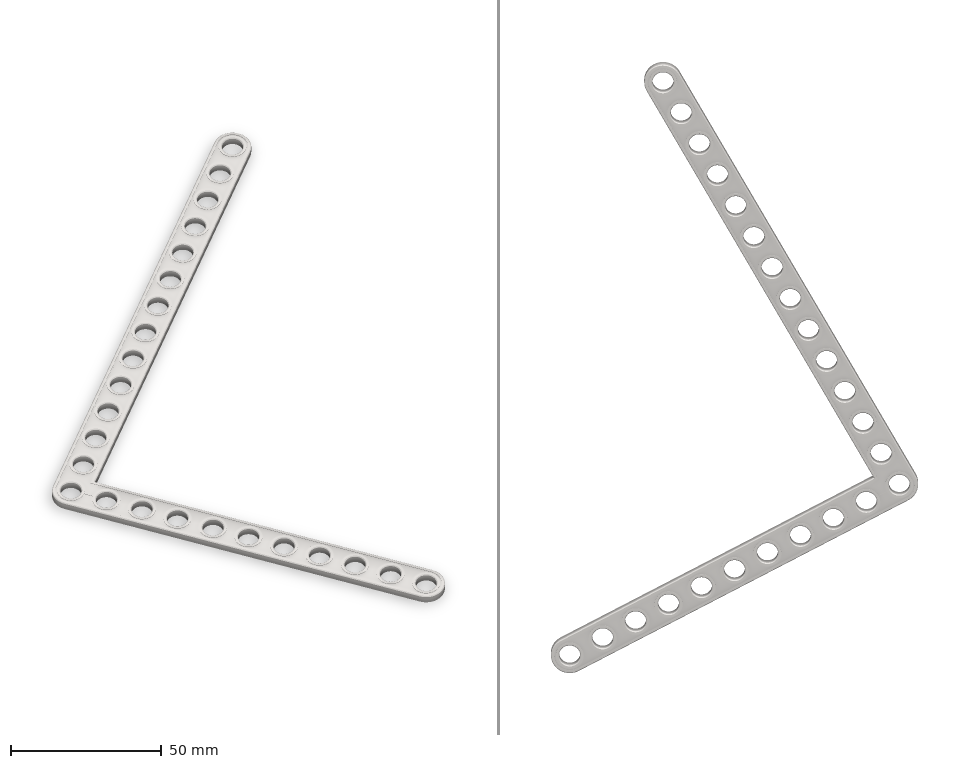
import cadquery as cq

LONG_ARM_HOLES = 14
SHORT_ARM_HOLES = 11
LONG_ARM_LENGTH = 175.0
THICKNESS = 3.2
HOLE_DIAMETER = 7.0
COLLAR_DIAMETER = 9.3
RIM_WIDTH = 1.1
RECESS_DEPTH = 0.2
RIB_WIDTH = 0.2
EDGE_CHAMFER = 0.3

PITCH = LONG_ARM_LENGTH / LONG_ARM_HOLES
ARM_WIDTH = PITCH


def arm(hole_count, width, height):
    """Round-ended flat bar along +X, its first hole centre at the origin."""
    span = (hole_count - 1) * PITCH
    return cq.Workplane("XY").center(span / 2, 0).slot2D(span + width, width).extrude(height)


def angle(width, height):
    """Two arms of the given width meeting at a right angle at the corner hole."""
    short_arm = arm(SHORT_ARM_HOLES, width, height)
    long_arm = arm(LONG_ARM_HOLES, width, height).rotate((0, 0, 0), (0, 0, 1), 90)
    return short_arm.union(long_arm).clean()


def cylinders(diameter):
    """Full-height cylinders at every hole, in a row along each arm that shares the corner hole."""
    along_x = [(i * PITCH, 0) for i in range(SHORT_ARM_HOLES)]
    along_y = [(0, i * PITCH) for i in range(1, LONG_ARM_HOLES)]
    return cq.Workplane("XY").pushPoints(along_x + along_y).circle(diameter / 2).extrude(THICKNESS)


plate = angle(ARM_WIDTH, THICKNESS).cut(cylinders(HOLE_DIAMETER))
plate = plate.faces("<Z or >Z").edges().chamfer(EDGE_CHAMFER)

rib = cq.Workplane("XY").center(PITCH / 2, 0).rect(PITCH, RIB_WIDTH).extrude(RECESS_DEPTH)
recess = angle(ARM_WIDTH - 2 * RIM_WIDTH, RECESS_DEPTH).cut(cylinders(COLLAR_DIAMETER)).cut(rib)
upper_recess = recess.translate((0, 0, THICKNESS - RECESS_DEPTH))

result = plate.cut(recess).cut(upper_recess)